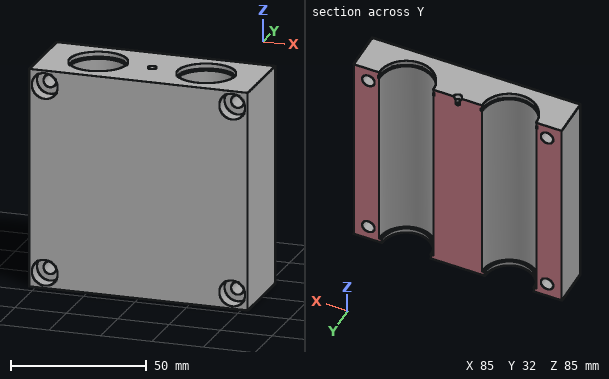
import cadquery as cq
import math

side = 85.0
thickness = 32.0
top = side / 2

bore_diameter = 22.0
bore_spacing = 42.0
lip_diameter = 20.0
lip_height = 2.0

groove_diameter = 23.0
groove_depth_from_top = 2.0
groove_width = 0.8

screw_diameter = 4.9
head_diameter = 10.0
head_depth = 6.0
screw_inset = 6.0
screw_spacing = side - 2 * screw_inset

pilot_diameter = 1.6
pilot_depth = 3.4
pilot_point_angle = 118
countersink_diameter = 3.3
countersink_angle = 60


def cone_height(diameter, angle):
    """Height of a pointed cone with the given base diameter and full angle in degrees."""
    return diameter / 2 / math.tan(math.radians(angle / 2))


def make_block():
    return cq.Workplane("XY").box(side, thickness, side)


def bore_pair(diameter, z_top, length):
    """Two upright cylinders on the bore axes, reaching down from z_top."""
    return (
        cq.Workplane("XY", origin=(0, 0, z_top))
        .rarray(bore_spacing, 0.85, 2, 1)
        .circle(diameter / 2)
        .extrude(-length)
    )


def cut_bores(body):
    body = body.cut(bore_pair(lip_diameter, top, side))
    body = body.cut(bore_pair(bore_diameter, top, side - lip_height))
    return body.cut(bore_pair(groove_diameter, top - groove_depth_from_top, groove_width))


def cut_screw_holes(body):
    return (
        body.faces("<Y")
        .workplane(origin=(0, 0, 0))
        .rarray(screw_spacing, screw_spacing, 2, 2)
        .cboreHole(screw_diameter, head_diameter, head_depth)
    )


def cut_pilot_hole(body):
    """Revolve half of the hole's section about the Z axis and remove it."""
    pilot_radius = pilot_diameter / 2
    countersink_radius = countersink_diameter / 2
    countersink_depth = cone_height(countersink_diameter - pilot_diameter, countersink_angle)
    shank_end = top - pilot_depth
    tip = shank_end - cone_height(pilot_diameter, pilot_point_angle)
    hole = (
        cq.Workplane("XZ")
        .moveTo(0, top)
        .lineTo(countersink_radius, top)
        .lineTo(pilot_radius, top - countersink_depth)
        .lineTo(pilot_radius, shank_end)
        .lineTo(0, tip)
        .close()
        .revolve(360, (0, 0), (0, 1))
    )
    return body.cut(hole)


result = cut_pilot_hole(cut_screw_holes(cut_bores(make_block())))